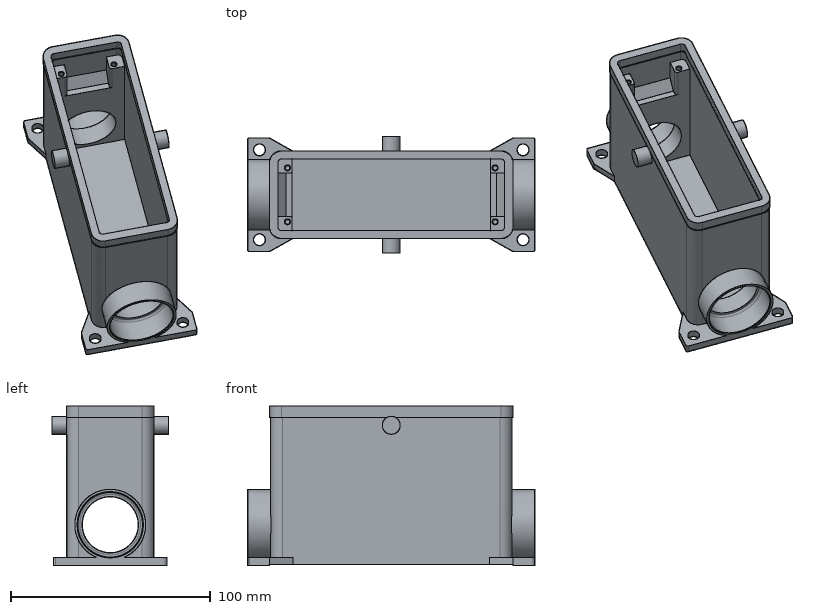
import cadquery as cq
import math

total_height = 80.0
body_length = 121.0
body_width = 43.8
body_corner_radius = 6.0
bottom_clearance = 0.5
lip_height = 5.7
lip_end_overhang = 0.5
lip_side_overhang = 0.1

mouth_length = 113.4
mouth_width = 36.0
mouth_corner_radius = 1.8
mouth_depth = 5.7
undercut = 0.5
floor_thickness = 4.0

overall_length = 144.0
flange_width = 57.0
flange_thickness = 4.2
flange_straight = 11.0
flange_inner_x = 49.3
flange_edge_radius = 1.0
mount_hole_diameter = 5.8
mount_hole_x = 66.0
mount_hole_y = 22.5

entry_axis_z = 20.5
entry_outer_diameter = 35.5
entry_bore_diameter = 32.4
entry_bore_depth = 12.6
entry_bore_fillet = 1.0
entry_mouth_chamfer = 0.4
entry_hole_diameter = 28.0

pin_diameter = 9.0
pin_span = 58.5
pin_axis_z = 70.3

post_top_z = 68.0
post_inner_x = 49.6
post_inner_y = 10.8
post_edge_radius = 1.3
ledge_z = 51.6
ledge_slope_x = 52.6
ledge_slope_top_z = 56.7
screw_x = 52.0
screw_y = 13.5
screw_hole_diameter = 2.4
screw_mouth_chamfer = 0.3
screw_hole_depth = 12.0
screw_point_angle = 118.0

ENDS = (-1, 1)
half_length = overall_length / 2
cavity_length = mouth_length + 2 * undercut
cavity_width = mouth_width + 2 * undercut
cavity_corner_radius = mouth_corner_radius + undercut
cavity_end_x = cavity_length / 2
cavity_side_y = cavity_width / 2
floor_z = bottom_clearance + floor_thickness


def rounded_block(length, width, radius, bottom_z, top_z):
    """Upright block with rounded vertical edges, centred on the Z axis."""
    block = cq.Workplane("XY").workplane(offset=bottom_z).rect(length, width).extrude(top_z - bottom_z)
    return block.edges("|Z").fillet(radius)


def box_between(x_range, y_range, z_range):
    """Box spanning the given ranges; each range may run in either direction."""
    ranges = (x_range, y_range, z_range)
    sizes = [abs(end - start) for start, end in ranges]
    centre = tuple((start + end) / 2 for start, end in ranges)
    return cq.Workplane("XY").box(*sizes).translate(centre)


def end_cylinder(end, diameter, outer_x, inner_x):
    """Cylinder on the cable entry axis at one end of the part."""
    plane = cq.Workplane("YZ", origin=(end * outer_x, 0, entry_axis_z))
    return plane.circle(diameter / 2).extrude(end * (inner_x - outer_x))


def make_shell():
    """Body with its overhanging lip, hollowed from the top."""
    lip_z = total_height - lip_height
    body = rounded_block(body_length, body_width, body_corner_radius, bottom_clearance, lip_z)
    lip_length = body_length + 2 * lip_end_overhang
    lip_width = body_width + 2 * lip_side_overhang
    lip = rounded_block(lip_length, lip_width, body_corner_radius, lip_z, total_height)
    mouth = rounded_block(mouth_length, mouth_width, mouth_corner_radius, floor_z, total_height)
    cavity_top_z = total_height - mouth_depth
    cavity = rounded_block(cavity_length, cavity_width, cavity_corner_radius, floor_z, cavity_top_z)
    return body.union(lip).cut(mouth).cut(cavity)


def make_flange(end):
    """Foot plate with wings tapering into the body sides."""
    shoulder_x = half_length - flange_straight
    edge_y = flange_width / 2
    body_y = body_width / 2
    outline = [
        (half_length, -edge_y),
        (half_length, edge_y),
        (shoulder_x, edge_y),
        (flange_inner_x, body_y),
        (flange_inner_x, -body_y),
        (shoulder_x, -edge_y),
    ]
    plate = cq.Workplane("XY").polyline(outline).close().extrude(flange_thickness)
    plate = plate.edges("|Z and >X").fillet(flange_edge_radius)
    relief = box_between((0, shoulder_x), (-edge_y, edge_y), (0, bottom_clearance))
    inside = box_between((0, cavity_end_x), (-cavity_side_y, cavity_side_y), (floor_z, total_height))
    plate = plate.cut(relief).cut(inside)
    return plate if end > 0 else plate.mirror("YZ")


def make_end_ledge(end):
    """Thickened end wall with a slope on top."""
    profile = [
        (end * post_inner_x, floor_z),
        (end * post_inner_x, ledge_z),
        (end * ledge_slope_x, ledge_z),
        (end * cavity_end_x, ledge_slope_top_z),
        (end * cavity_end_x, floor_z),
    ]
    return cq.Workplane("XZ").polyline(profile).close().extrude(cavity_side_y, both=True)


def make_post(end, side):
    """Screw post in one cavity corner, standing on the end ledge."""
    x_range = (end * post_inner_x, end * cavity_end_x)
    y_range = (side * post_inner_y, side * cavity_side_y)
    post = box_between(x_range, y_range, (ledge_z, post_top_z))
    x_selector = ">X" if end < 0 else "<X"
    y_selector = ">Y" if side < 0 else "<Y"
    post = post.edges(f"|Z and {x_selector} and {y_selector}").fillet(post_edge_radius)
    cavity_space = rounded_block(cavity_length, cavity_width, cavity_corner_radius, floor_z, total_height)
    return post.intersect(cavity_space)


def make_screw_hole(end, side):
    """Blind pilot hole with a chamfered mouth and a conical bottom."""
    radius = screw_hole_diameter / 2
    tip_length = radius / math.tan(math.radians(screw_point_angle / 2))
    half_profile = [
        (0, 0),
        (radius + screw_mouth_chamfer, 0),
        (radius, -screw_mouth_chamfer),
        (radius, -screw_hole_depth),
        (0, -screw_hole_depth - tip_length),
    ]
    hole = cq.Workplane("XZ").polyline(half_profile).close().revolve(360, (0, 0), (0, 1))
    return hole.translate((end * screw_x, side * screw_y, post_top_z))


def make_entry_cut(end):
    """Counterbored hole from the outside into the cavity."""
    bore = end_cylinder(end, entry_bore_diameter, half_length, half_length - entry_bore_depth)
    inner_face = "<X" if end > 0 else ">X"
    bore = bore.faces(inner_face).edges().fillet(entry_bore_fillet)
    mouth_plane = cq.Workplane("YZ", origin=(end * half_length, 0, entry_axis_z))
    bore_radius = entry_bore_diameter / 2
    mouth = (
        mouth_plane.circle(bore_radius + entry_mouth_chamfer)
        .workplane(offset=-end * entry_mouth_chamfer)
        .circle(bore_radius)
        .loft()
    )
    hole = end_cylinder(end, entry_hole_diameter, half_length, post_inner_x)
    return bore.union(mouth).union(hole)


def make_pins():
    """Pair of locking pins, one on each long side."""
    wall_y = (body_width + cavity_width) / 4
    pins = cq.Workplane("XZ", origin=(0, 0, pin_axis_z)).circle(pin_diameter / 2)
    pins = pins.extrude(pin_span / 2, both=True)
    gap = box_between((-pin_diameter, pin_diameter), (-wall_y, wall_y), (0, total_height))
    return pins.cut(gap)


housing = make_shell().union(make_pins())
for end in ENDS:
    housing = housing.union(make_flange(end))
    housing = housing.union(end_cylinder(end, entry_outer_diameter, half_length, cavity_end_x))
    housing = housing.union(make_end_ledge(end))
    for side in ENDS:
        housing = housing.union(make_post(end, side))

for end in ENDS:
    housing = housing.cut(make_entry_cut(end))
    for side in ENDS:
        housing = housing.cut(make_screw_hole(end, side))

mount_holes = (
    cq.Workplane("XY")
    .rect(2 * mount_hole_x, 2 * mount_hole_y, forConstruction=True)
    .vertices()
    .circle(mount_hole_diameter / 2)
    .extrude(flange_thickness)
)
result = housing.cut(mount_holes)